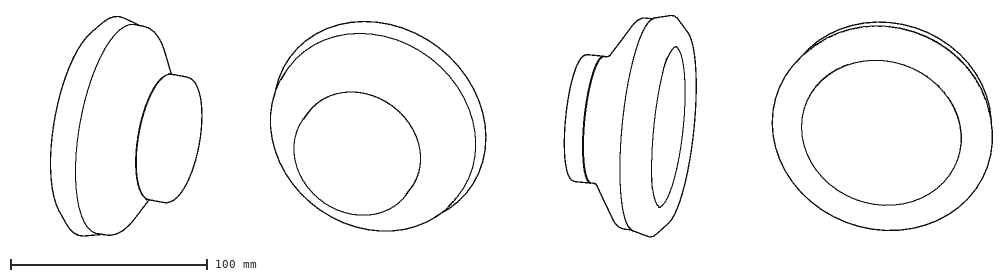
import cadquery as cq
import math

ring_ridge_x = 6.5
ring_back_x = 15.5
cone_start_x = 22.2
cone_end_x = 36.3
step_start_x = 39.6
step_end_x = 40.1
total_length = 50.0

lip_radius = 49.8
ridge_radius = 56.7
ring_back_radius = 54.4
flange_radius = 108.0 / 2
neck_radius = 64.6 / 2
spigot_radius = 65.0 / 2
seat_radius = 41.1

bevel_depth = 2.4
face_depth = 3.8

lip_round = 0.6
ridge_round = 0.8
ring_edge_round = 0.6
ring_bore_round = 0.6
flange_round = 4.0
neck_round = 5.2
spigot_round = 1.9

lip_x = -0.08
SHARP = 0


def rounded_corner(before, corner, after, radius):
    """Start, middle and end of the arc that rounds a corner of a profile."""
    tip = cq.Vector(*corner)
    to_before = (cq.Vector(*before) - tip).normalized()
    to_after = (cq.Vector(*after) - tip).normalized()
    half_angle = to_before.getAngle(to_after) / 2
    setback = radius / math.tan(half_angle)
    bisector = (to_before + to_after).normalized()
    middle = tip + bisector * (radius / math.sin(half_angle) - radius)
    return tip + to_before * setback, middle, tip + to_after * setback


def turned(corners):
    """Revolve a closed profile of (x, radius, corner round) about the X axis."""
    points = [corner[:2] for corner in corners]
    profile = cq.Workplane("XY").moveTo(*points[0])
    for i in range(1, len(corners)):
        round_radius = corners[i][2]
        if round_radius == SHARP:
            profile = profile.lineTo(*points[i])
        else:
            following = points[(i + 1) % len(points)]
            start, middle, end = rounded_corner(points[i - 1], points[i], following, round_radius)
            profile = profile.lineTo(start.x, start.y)
            profile = profile.threePointArc((middle.x, middle.y), (end.x, end.y))
    return profile.close().revolve(360, (0, 0, 0), (1, 0, 0))


def make_ring():
    """Bevelled ring with a shallow conical front around a straight bore."""
    return turned([
        (ring_back_x, seat_radius, SHARP),
        (bevel_depth, seat_radius, ring_bore_round),
        (lip_x, lip_radius, lip_round),
        (ring_ridge_x, ridge_radius, ridge_round),
        (ring_back_x, ring_back_radius, ring_edge_round),
    ])


def make_body():
    """Flange tapering to a spigot, with a front boss that fills the ring bore."""
    return turned([
        (face_depth, 0, SHARP),
        (face_depth, seat_radius, SHARP),
        (ring_back_x, seat_radius, SHARP),
        (ring_back_x, flange_radius, SHARP),
        (cone_start_x, flange_radius, flange_round),
        (cone_end_x, neck_radius, neck_round),
        (step_start_x, neck_radius, SHARP),
        (step_end_x, spigot_radius, SHARP),
        (total_length, spigot_radius, spigot_round),
        (total_length, 0, SHARP),
    ])


ring = make_ring()
body = make_body()
result = cq.Compound.makeCompound([ring.val(), body.val()])